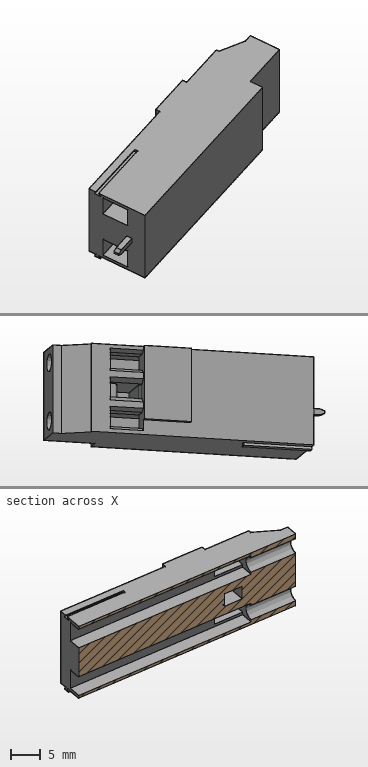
import cadquery as cq

width = 11.35
overall_length = 49.0
length = 45.0
height = 15.3
mid_z = height / 2

rear_left = 2.95
rear_right = 8.85
step_y = 36.0
slope_base = 0.55
slope_start_y = 39.0
slope_end_y = 43.45

pad_thickness = 0.85
pad_front_y = 21.7
pad_rear_y = 29.95
pad_height = 12.75

rail_x = 1.7
rail_length = 11.95
rail_depth = 0.55
rail_neck = 0.5
rail_foot = 1.22

cavity_pitch = 10.1
cavity_left = 2.85
cavity_right = 7.85
cavity_height = 3.85
cavity_end_y = 35.7
hole_diameter = 3.0
cavity_levels = [mid_z - cavity_pitch / 2, mid_z + cavity_pitch / 2]
cavity_x = (cavity_left + cavity_right) / 2

window_length = cavity_end_y - pad_rear_y
lead_in_depth = 0.8
outer_lead_in = 0.55
middle_lead_in = 0.75
middle_window_height = 4.0

shelf_x = 1.55
slot_front_y = 30.3
slot_lip_y = 35.0
lip_radius = 1.15
slot_height = middle_window_height - 2 * middle_lead_in

pin_left = 7.7
pin_size = 1.05
pin_length = overall_length - length
pin_taper_length = 0.8
pin_tip = 0.4


def box(x0, x1, y0, y1, z0, z1):
    """Box between two opposite corners."""
    return cq.Workplane("XY").box(x1 - x0, y1 - y0, z1 - z0, centered=False).translate((x0, y0, z0))


def make_housing():
    outline = [
        (0, 0),
        (width, 0),
        (width, step_y),
        (rear_right, step_y),
        (rear_right, length),
        (rear_left, length),
        (rear_left, slope_end_y),
        (slope_base, slope_start_y),
        (0, slope_start_y),
    ]
    housing = cq.Workplane("XY").polyline(outline).close().extrude(height)
    pad = box(-pad_thickness, 0, pad_front_y, pad_rear_y, height - pad_height, height)
    return housing.union(pad)


def make_dovetail(neck_z):
    """Dovetail bar along Y that widens downwards from its neck."""
    foot_z = neck_z - rail_depth
    section = [
        (rail_x - rail_neck / 2, neck_z),
        (rail_x + rail_neck / 2, neck_z),
        (rail_x + rail_foot / 2, foot_z),
        (rail_x - rail_foot / 2, foot_z),
    ]
    return cq.Workplane("XZ").polyline(section).close().extrude(-rail_length)


def make_cavity(level):
    pocket = box(
        cavity_left, cavity_right, 0, cavity_end_y, level - cavity_height / 2, level + cavity_height / 2
    )
    hole = (
        cq.Workplane("XZ", origin=(cavity_x, cavity_end_y, level))
        .circle(hole_diameter / 2)
        .extrude(cavity_end_y - length)
    )
    return pocket.union(hole)


def make_window(level, opening, lead_in, depth):
    outer = opening / 2
    inner = outer - lead_in
    section = [
        (0, level - outer),
        (lead_in_depth, level - inner),
        (depth, level - inner),
        (depth, level + inner),
        (lead_in_depth, level + inner),
        (0, level + outer),
    ]
    return (
        cq.Workplane("XZ", origin=(0, pad_rear_y, 0)).polyline(section).close().extrude(-window_length)
    )


def make_slot():
    """Slot behind the middle window, narrowing around a rounded lip."""
    return (
        cq.Workplane("XY", origin=(0, 0, mid_z - slot_height / 2))
        .moveTo(shelf_x, slot_front_y)
        .lineTo(shelf_x, slot_lip_y)
        .radiusArc((shelf_x + lip_radius, slot_lip_y - lip_radius), -lip_radius)
        .lineTo(cavity_right, slot_lip_y - lip_radius)
        .lineTo(cavity_right, slot_front_y)
        .close()
        .extrude(slot_height)
    )


def make_pin():
    taper_y = pin_taper_length - pin_length
    outline = [
        (0, mid_z - pin_size / 2),
        (taper_y, mid_z - pin_size / 2),
        (-pin_length, mid_z - pin_tip / 2),
        (-pin_length, mid_z + pin_tip / 2),
        (taper_y, mid_z + pin_size / 2),
        (0, mid_z + pin_size / 2),
    ]
    return cq.Workplane("YZ", origin=(pin_left, 0, 0)).polyline(outline).close().extrude(pin_size)


result = make_housing().union(make_dovetail(0)).cut(make_dovetail(height))

for cavity_level in cavity_levels:
    result = result.cut(make_cavity(cavity_level))
    result = result.cut(make_window(cavity_level, cavity_height, outer_lead_in, cavity_left))

result = result.cut(make_window(mid_z, middle_window_height, middle_lead_in, shelf_x))
result = result.cut(make_slot())
result = result.union(make_pin())